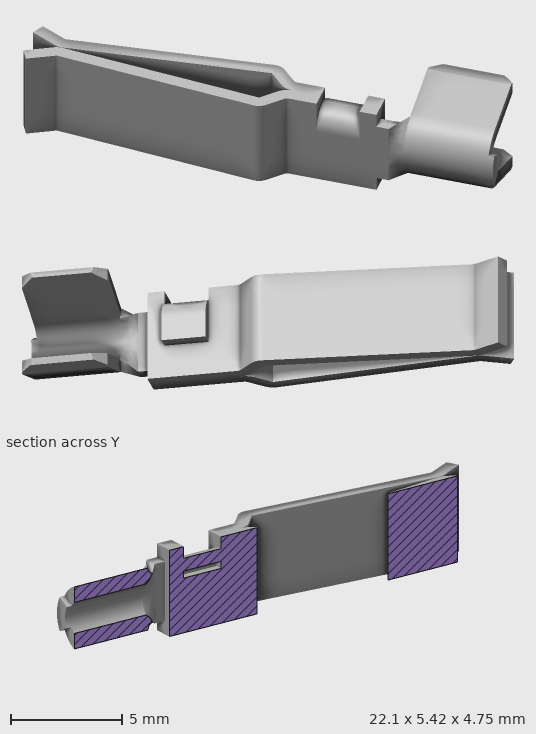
import cadquery as cq
import math

sheet = 0.65
strip_half_width = 2.1

tip_angle = 27
arm_angle = 5.7
crest_angle = 45
pinch_x = 1.57
pinch_radius = 0.13
arm_gap = 0.01
crest_x = 11.17
crest_y = 0.96
root_x = 12.45
root_radius = 0.22
back_sheet_end = 16.6

notch_start = 13.77
notch_end = 15.8
notch_floor = 0.57
tab_end_z = -0.55

neck_end = 17.17
neck_half_width = 1.43
flare_half_angle = 68
barrel_start = 17.85
barrel_end = 21.8

barrel_radius = 1.68
barrel_inner_radius = barrel_radius - sheet
barrel_y = barrel_radius - sheet
wing_lean = 17.5
wing_top_y = 3.807
wing_corner = 0.62
tip_thickness = 0.3
tip_bevel_length = 0.66
tongue_half_angle = 29.6
overall_length = 22.07


def polar(center, radius, angle):
    """Point at an angle in degrees from the first sketch axis."""
    turn = math.radians(angle)
    return (center[0] + radius * math.cos(turn), center[1] + radius * math.sin(turn))


def box(x0, x1, y0, y1, z0, z1):
    return cq.Workplane("XY").box(x1 - x0, y1 - y0, z1 - z0, centered=False).translate((x0, y0, z0))


def arm_sheet(sheet_end):
    """Sprung sheet on the +Y side, from its flared tip to the end of its flat root."""
    pinch = (pinch_x, sheet + arm_gap + pinch_radius)
    pinch_inner_radius = pinch_radius + sheet
    crest = (crest_x, crest_y)
    root = (root_x, sheet + root_radius)
    root_inner_radius = root_radius + sheet

    lead_in_start = polar(pinch, pinch_inner_radius, 270 - tip_angle)
    lead_in_length = lead_in_start[0] / math.cos(math.radians(tip_angle))
    tip_inner = polar(lead_in_start, lead_in_length, 180 - tip_angle)
    tip_outer = polar(tip_inner, sheet, 90 - tip_angle)
    profile = (
        cq.Workplane("XY")
        .moveTo(*tip_inner)
        .lineTo(*lead_in_start)
        .threePointArc(
            polar(pinch, pinch_inner_radius, 270),
            polar(pinch, pinch_inner_radius, 270 + arm_angle),
        )
        .lineTo(*crest)
        .lineTo(*polar(root, root_inner_radius, 270 - crest_angle))
        .threePointArc(
            polar(root, root_inner_radius, 270 - crest_angle / 2),
            polar(root, root_inner_radius, 270),
        )
        .lineTo(sheet_end, 0)
        .lineTo(sheet_end, sheet)
        .lineTo(root_x, sheet)
        .threePointArc(
            polar(root, root_radius, 270 - crest_angle / 2),
            polar(root, root_radius, 270 - crest_angle),
        )
        .lineTo(*polar(crest, sheet, 90 - crest_angle))
        .threePointArc(polar(crest, sheet, 90), polar(crest, sheet, 90 + arm_angle))
        .lineTo(*polar(pinch, pinch_radius, 270 + arm_angle))
        .threePointArc(
            polar(pinch, pinch_radius, 270), polar(pinch, pinch_radius, 270 - tip_angle)
        )
        .lineTo(*tip_outer)
        .close()
    )
    return profile.extrude(strip_half_width, both=True)


def ring_sector(x, half_angle):
    """Barrel wall section at X, opening toward +Y, with radial ends."""
    center = (barrel_y, 0)
    return (
        cq.Workplane("YZ", origin=(x, 0, 0))
        .moveTo(*polar(center, barrel_radius, 180 + half_angle))
        .threePointArc(
            polar(center, barrel_radius, 180), polar(center, barrel_radius, 180 - half_angle)
        )
        .lineTo(*polar(center, barrel_inner_radius, 180 - half_angle))
        .threePointArc(
            polar(center, barrel_inner_radius, 180),
            polar(center, barrel_inner_radius, 180 + half_angle),
        )
        .close()
    )


def folded_tab():
    """Tab of the front sheet, bent half a turn over the back sheet."""
    center_y = sheet / 2
    inner_radius = sheet / 2
    outer_radius = inner_radius + sheet
    return (
        cq.Workplane("YZ", origin=(notch_start, 0, 0))
        .moveTo(-sheet, notch_floor)
        .threePointArc((center_y, notch_floor + outer_radius), (2 * sheet, notch_floor))
        .lineTo(2 * sheet, tab_end_z)
        .lineTo(sheet, tab_end_z)
        .lineTo(sheet, notch_floor)
        .threePointArc((center_y, notch_floor + inner_radius), (0, notch_floor))
        .close()
        .extrude(notch_end - notch_start)
    )


def flare():
    """Transition from the flat neck to the curved barrel wall."""
    neck_section = cq.Wire.makePolygon(
        [
            cq.Vector(neck_end, -sheet, -neck_half_width),
            cq.Vector(neck_end, -sheet, neck_half_width),
            cq.Vector(neck_end, 0, neck_half_width),
            cq.Vector(neck_end, 0, -neck_half_width),
        ],
        close=True,
    )
    barrel_section = ring_sector(barrel_start, flare_half_angle).val()
    return cq.Workplane(cq.Solid.makeLoft([neck_section, barrel_section], True))


def wing():
    """Upper crimp wing, with a bevelled tip and cut corners."""
    tangent_angle = 90 + wing_lean
    center = (barrel_y, 0)
    root_outer = polar(center, barrel_radius, tangent_angle)
    root_inner = polar(center, barrel_inner_radius, tangent_angle)
    length = (wing_top_y - root_inner[0]) / math.cos(math.radians(wing_lean))
    tip_inner = polar(root_inner, length, wing_lean)
    blade = (
        cq.Workplane("YZ", origin=(barrel_start, 0, 0))
        .polyline(
            [
                root_inner,
                tip_inner,
                polar(tip_inner, tip_thickness, tangent_angle),
                polar(root_outer, length - tip_bevel_length, wing_lean),
                root_outer,
            ]
        )
        .close()
        .extrude(barrel_end - barrel_start)
    )
    corner_y = wing_top_y - wing_corner
    for end_x, inward in ((barrel_start, 1), (barrel_end, -1)):
        corner = (
            cq.Workplane("XY")
            .polyline(
                [
                    (end_x, corner_y),
                    (end_x, wing_top_y),
                    (end_x + inward * wing_corner, wing_top_y),
                ]
            )
            .close()
            .extrude(2 * strip_half_width)
        )
        blade = blade.cut(corner)
    return blade


def barrel():
    """Crimp barrel with its two wings and end tongue."""
    wall = ring_sector(barrel_start, 90 - wing_lean).extrude(barrel_end - barrel_start)
    tongue = ring_sector(barrel_end, tongue_half_angle).extrude(overall_length - barrel_end)
    upper_wing = wing()
    return wall.union(tongue).union(upper_wing).union(upper_wing.mirror("XY"))


back_sheet = arm_sheet(back_sheet_end)
sheets = back_sheet.union(back_sheet.mirror("XZ"))
notch = box(notch_start, notch_end, -sheet, sheet, notch_floor, strip_half_width)
neck = box(back_sheet_end, neck_end, -sheet, 0, -neck_half_width, neck_half_width)

result = sheets.cut(notch).union(folded_tab()).union(neck).union(flare()).union(barrel())